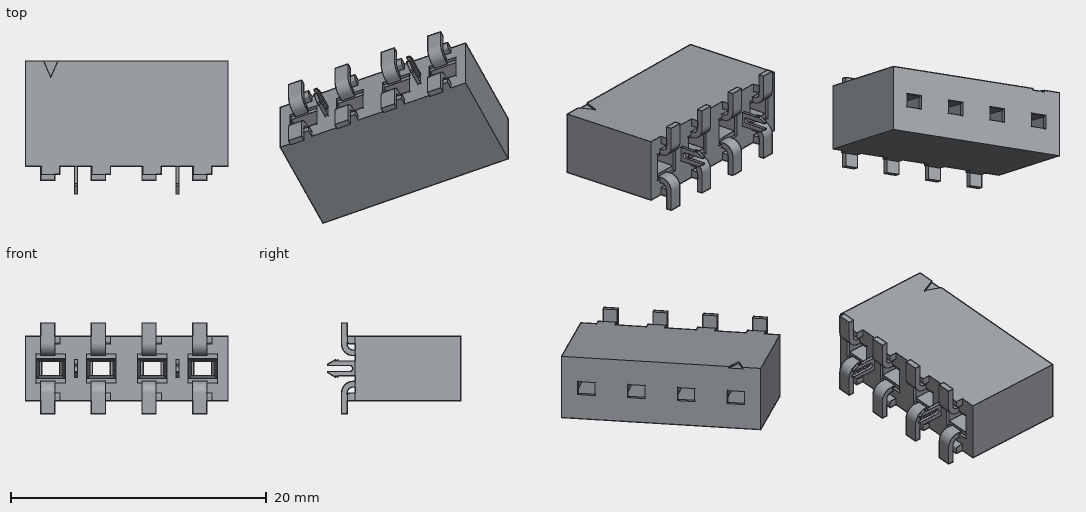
import cadquery as cq
import math


HOUSING_LENGTH = 15.85
HOUSING_DEPTH = 8.25
HOUSING_HEIGHT = 5.07

POSITION_COUNT = 4
PITCH = 3.96
POSITION_XS = [(i - (POSITION_COUNT - 1) / 2) * PITCH for i in range(POSITION_COUNT)]

WINDOW_SIZE = 2.3
FRONT_WALL = 0.24
BACK_WALL = 0.32
SLOT_WIDTH = 1.38
SLOT_HEIGHT = 1.08

STANDOFF_WIDTH = 1.45
STANDOFF_LENGTH = 0.62
STANDOFF_HEIGHT = 0.62
STANDOFF_EDGE_RADIUS = 0.2

MARK_WIDTH = 1.13
MARK_LENGTH = 1.28
MARK_DEPTH = 0.13

LEAD_WIDTH = 1.13
LEAD_THICKNESS = 0.46
LEAD_OFFSET = -0.24
LEAD_INNER_Z = 1.0
FOOT_SPAN = 7.12
FOOT_TIP_Z = FOOT_SPAN / 2
LEAD_OUTER_Z = LEAD_INNER_Z + LEAD_THICKNESS
BEND_INNER_RADIUS = LEAD_THICKNESS
BEND_OUTER_RADIUS = BEND_INNER_RADIUS + LEAD_THICKNESS
FOOT_FRONT_Y = -(STANDOFF_LENGTH + LEAD_THICKNESS)

CORE_LENGTH = POSITION_XS[-1] - POSITION_XS[0] + WINDOW_SIZE
CORE_HEIGHT = 2 * LEAD_OUTER_Z
CORE_FRONT_Y = FRONT_WALL
CORE_BACK_Y = HOUSING_DEPTH - BACK_WALL

PASSAGE_FRONT_WIDTH = 2.27
PASSAGE_FRONT_HEIGHT = 1.58
PASSAGE_BACK_WIDTH = 1.78

CLIP_XS = [-PITCH, PITCH]
CLIP_THICKNESS = 0.25
CLIP_LENGTH = 2.15
CLIP_HALF_HEIGHT = 0.59
CLIP_TIP_HALF_HEIGHT = 0.33
CLIP_SPLIT_WIDTH = 0.46
CLIP_SPLIT_START = 0.2
BARB_HEIGHT = 0.11
BARB_START = 1.33
BARB_PITCH = 0.2


def block(x_center, width, y_range, height):
    """Box of the given x width and z height that spans the given y range, centred on z = 0."""
    front_y, back_y = y_range
    box = cq.Workplane("XY").box(width, back_y - front_y, height)
    return box.translate((x_center, (front_y + back_y) / 2, 0))


def side_profile(x_center, width):
    """Sketch plane with local axes (y, z), on the low-x side of a strip of the given width."""
    return cq.Workplane("YZ", origin=(x_center - width / 2, 0, 0))


def mirrored_pair(upper):
    """The upper shape and its mirror image below z = 0."""
    return [upper, upper.mirror("XY")]


def window_cuts(x_center):
    """Front window and back slot of one position."""
    window = block(x_center, WINDOW_SIZE, (0, FRONT_WALL), WINDOW_SIZE)
    slot = block(x_center, SLOT_WIDTH, (CORE_BACK_Y, HOUSING_DEPTH), SLOT_HEIGHT)
    return [window, slot]


def upper_standoff(x_center):
    """Standoff at the top edge of the mounting face, its inner front edge rounded."""
    top_z = HOUSING_HEIGHT / 2
    pad = block(x_center, STANDOFF_WIDTH, (-STANDOFF_LENGTH, 0), STANDOFF_HEIGHT)
    pad = pad.translate((0, 0, top_z - STANDOFF_HEIGHT / 2))
    return pad.faces("<Y").edges("<Z").fillet(STANDOFF_EDGE_RADIUS)


def position_mark():
    """Triangle sunk into the top face, with its base on the back edge."""
    half_width = MARK_WIDTH / 2
    mark_x = POSITION_XS[0]
    return (
        cq.Workplane("XY", origin=(0, 0, HOUSING_HEIGHT / 2 - MARK_DEPTH))
        .moveTo(mark_x - half_width, HOUSING_DEPTH)
        .lineTo(mark_x + half_width, HOUSING_DEPTH)
        .lineTo(mark_x, HOUSING_DEPTH - MARK_LENGTH)
        .close()
        .extrude(MARK_DEPTH)
    )


def core_block():
    """Core without its passages."""
    return block(0, CORE_LENGTH, (CORE_FRONT_Y, CORE_BACK_Y), CORE_HEIGHT)


def passage(x_center):
    """Tapered hole that narrows from the front of the core to the slot in the back wall."""
    return (
        cq.Workplane("XZ", origin=(x_center, CORE_FRONT_Y, 0))
        .rect(PASSAGE_FRONT_WIDTH, PASSAGE_FRONT_HEIGHT)
        .workplane(offset=CORE_FRONT_Y - CORE_BACK_Y)
        .rect(PASSAGE_BACK_WIDTH, SLOT_HEIGHT)
        .loft(ruled=True)
    )


def upper_lead(x_center):
    """Strip from the core out through the mounting face, bent up into a foot."""
    bend_center_y = FOOT_FRONT_Y + BEND_OUTER_RADIUS
    bend_center_z = LEAD_INNER_Z + BEND_OUTER_RADIUS
    diagonal = math.cos(math.radians(45))
    outer_middle = (
        bend_center_y - BEND_OUTER_RADIUS * diagonal,
        bend_center_z - BEND_OUTER_RADIUS * diagonal,
    )
    inner_middle = (
        bend_center_y - BEND_INNER_RADIUS * diagonal,
        bend_center_z - BEND_INNER_RADIUS * diagonal,
    )
    return (
        side_profile(x_center, LEAD_WIDTH)
        .moveTo(CORE_FRONT_Y, LEAD_INNER_Z)
        .lineTo(bend_center_y, LEAD_INNER_Z)
        .threePointArc(outer_middle, (FOOT_FRONT_Y, bend_center_z))
        .lineTo(FOOT_FRONT_Y, FOOT_TIP_Z)
        .lineTo(-STANDOFF_LENGTH, FOOT_TIP_Z)
        .lineTo(-STANDOFF_LENGTH, bend_center_z)
        .threePointArc(inner_middle, (bend_center_y, LEAD_OUTER_Z))
        .lineTo(CORE_FRONT_Y, LEAD_OUTER_Z)
        .close()
        .extrude(LEAD_WIDTH)
    )


def clip(x_center):
    """Split blade with two barbs on each prong."""
    barb_top = CLIP_HALF_HEIGHT + BARB_HEIGHT
    second_barb = BARB_START + BARB_PITCH
    upper_edge = [
        (CORE_FRONT_Y, CLIP_HALF_HEIGHT),
        (-BARB_START, CLIP_HALF_HEIGHT),
        (-BARB_START, barb_top),
        (-second_barb, CLIP_HALF_HEIGHT),
        (-second_barb, barb_top),
        (-CLIP_LENGTH, CLIP_TIP_HALF_HEIGHT),
    ]
    lower_edge = [(y, -z) for y, z in reversed(upper_edge)]
    blade = (
        side_profile(x_center, CLIP_THICKNESS)
        .polyline(upper_edge + lower_edge)
        .close()
        .extrude(CLIP_THICKNESS)
    )
    split_half = CLIP_SPLIT_WIDTH / 2
    round_center = CLIP_SPLIT_START + split_half
    split = (
        side_profile(x_center, CLIP_THICKNESS)
        .moveTo(-CLIP_LENGTH, split_half)
        .lineTo(-round_center, split_half)
        .threePointArc((-CLIP_SPLIT_START, 0), (-round_center, -split_half))
        .lineTo(-CLIP_LENGTH, -split_half)
        .close()
        .extrude(CLIP_THICKNESS)
    )
    return blade.cut(split)


def make_core():
    """Core block with its passages, leads and clips."""
    core = core_block()
    for x_center in POSITION_XS:
        core = core.cut(passage(x_center))
        for lead in mirrored_pair(upper_lead(x_center + LEAD_OFFSET)):
            core = core.union(lead)
    for x_center in CLIP_XS:
        core = core.union(clip(x_center))
    return core


def make_housing(core):
    """Block with standoffs, windows and mark, hollowed to fit the core, leads and clips."""
    body = block(0, HOUSING_LENGTH, (0, HOUSING_DEPTH), HOUSING_HEIGHT).cut(core_block())
    for x_center in POSITION_XS:
        for standoff in mirrored_pair(upper_standoff(x_center)):
            body = body.union(standoff)
        for opening in window_cuts(x_center):
            body = body.cut(opening)
    return body.cut(position_mark()).cut(core)


contact_core = make_core()
housing = make_housing(contact_core)

result = cq.Compound.makeCompound([housing.solids().val(), contact_core.solids().val()])